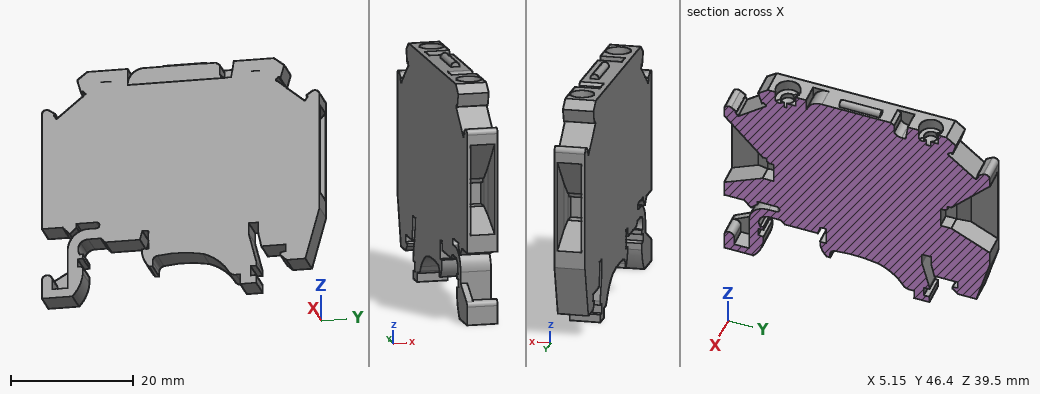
import cadquery as cq
import math

THICKNESS = 5.15
LENGTH = 46.35
TOP_Z = 38.7
HALF = LENGTH / 2

BEND_Y = -15.45
BEND_Z = 8.0
BEND_INNER_R = 1.65
BEND_OUTER_R = 3.45
ARM_Y = BEND_Y - BEND_OUTER_R
ARM_TOP_Z = BEND_Z + BEND_OUTER_R
COS_45 = math.cos(math.radians(45))

SLOT_TOP_Z = 12.5
SLOT_R = (SLOT_TOP_Z - ARM_TOP_Z) / 2
SLOT_END_Y = -14.1

SHOULDER = [
    (20.95, 31.85),
    (21.2, 31.6),
    (20.7, 30.9),
    (15.85, 34.9),
    (16.35, 35.4),
    (16.65, 35.15),
    (17.3, 37.35),
    (15.57, TOP_Z),
]
SHOULDER_ROUND_R = 0.8
SHOULDER_ROUND_Z = 31.85
SHOULDER_ROUND_START = 123

FOOT_WEB = 1.1
FOOT_LIP_R = 0.9
FOOT_LIP_Z = 3.1
FOOT_LIP_TANGENT = 119
FOOT_POCKET_FLOOR = 1.5

SCREW_WELLS = [(3.05, 12.45, 2.0), (3.0, -12.45, 2.1)]
WELL_DEPTH = 1.95
BORE_R = 1.15
BORE_DEPTH = 0.95
CONE_DEPTH = 0.7
DRIVE_SLOT_R = 0.32
DRIVE_SLOT_ANGLE = -45

RECESS_X = 1.0
RECESS_HALF = 8.85
ROUND_R = 2.7
GROOVE_DEPTH = 2.8
GROOVE_WALL_Y = 8.45
GROOVE_STEP_Y = 6.5
GROOVE_ARC_RISE = 0.75
BLOCK_BEVEL_Y = 5.9
BLOCK_BEVEL_DROP = 0.45
BLOCK_SIDE_GAP = 0.15
BLOCK_END_Y = 7.75

RIB_X = 3.05
RIB_WIDTH = 1.45
RIB_TOP_Z = 39.5
RIB_LENGTH = 7.1
RIB_CENTRE_Y = 0.3

FUNNEL_X0 = 0.6
FUNNEL_X1 = 4.65
FUNNEL_BEND = 4.65
FUNNEL_DEPTH = 6.7
FUNNEL_BOTTOM_Z = 15.0
FUNNEL_TOP_Z = 30.1
THROAT_X0 = 1.8
THROAT_X1 = 4.5
THROAT_BOTTOM_Z = 18.25
THROAT_TOP_Z = 22.9
THROAT_DEPTH = 1.85
THROAT_LIP_Z = 22.55
THROAT_LIP_R = 0.65


def side_sketch(x):
    """Sketch plane facing +X whose local axes are Y and Z."""
    return cq.Workplane("YZ", origin=(x, 0, 0))


def mirrored(point):
    """The same point at the other end of the length."""
    y, z = point
    return (-y, z)


def arc_point(centre_y, centre_z, radius, degrees):
    """Point on a circle, by its angle from the +Y direction."""
    angle = math.radians(degrees)
    return (centre_y + radius * math.cos(angle), centre_z + radius * math.sin(angle))


def shoulder_round_point(degrees):
    """Point on the rounded top corner at +Y."""
    return arc_point(HALF - SHOULDER_ROUND_R, SHOULDER_ROUND_Z, SHOULDER_ROUND_R, degrees)


def foot_lip_point(degrees):
    """Point on the rounded lip of the foot."""
    return arc_point(FOOT_LIP_R - HALF, FOOT_LIP_Z, FOOT_LIP_R, degrees)


def make_body():
    """Side outline of the whole housing, extruded through the thickness."""
    round_end = (HALF, SHOULDER_ROUND_Z)
    round_mid = shoulder_round_point(SHOULDER_ROUND_START / 2)
    round_start = shoulder_round_point(SHOULDER_ROUND_START)
    mirrored_shoulder = [mirrored(point) for point in reversed(SHOULDER)]
    outline = (
        side_sketch(0)
        .moveTo(*round_end)
        .threePointArc(round_mid, round_start)
    )
    for y, z in SHOULDER + mirrored_shoulder:
        outline = outline.lineTo(y, z)
    outline = (
        outline.lineTo(*mirrored(round_start))
        .threePointArc(mirrored(round_mid), mirrored(round_end))
        .lineTo(-HALF, 12.05)
        .lineTo(-19.7, 12.05)
        .lineTo(-18.5, 10.75)
        .lineTo(-17.4, 11.85)
        .lineTo(-17.4, SLOT_TOP_Z)
        .lineTo(SLOT_END_Y, SLOT_TOP_Z)
        .threePointArc((SLOT_END_Y + SLOT_R, SLOT_TOP_Z - SLOT_R), (SLOT_END_Y, ARM_TOP_Z))
    )
    outline = (
        outline.lineTo(BEND_Y, ARM_TOP_Z)
        .threePointArc(
            (BEND_Y - BEND_OUTER_R * COS_45, BEND_Z + BEND_OUTER_R * COS_45), (ARM_Y, BEND_Z)
        )
        .lineTo(ARM_Y, 6.05)
        .lineTo(*foot_lip_point(FOOT_LIP_TANGENT))
        .threePointArc(foot_lip_point((FOOT_LIP_TANGENT + 180) / 2), foot_lip_point(180))
        .lineTo(-HALF, 0)
        .lineTo(-18.08, 0)
        .threePointArc((-16.83, 1.85), (-16.3, 3.85))
        .lineTo(-16.3, 4.9)
        .lineTo(-17.2, 5.1)
        .lineTo(-17.2, 6.35)
        .lineTo(-16.3, 6.45)
        .lineTo(-16.3, 7.2)
        .lineTo(-16.85, 7.2)
        .threePointArc((BEND_Y - BEND_INNER_R, BEND_Z), (-16.7, 9.15))
        .threePointArc((-16.18, 9.5), (BEND_Y, BEND_Z + BEND_INNER_R))
    )
    outline = (
        outline.lineTo(-13.35, 9.7)
        .lineTo(-12.6, 8.95)
        .lineTo(-6.8, 8.95)
        .lineTo(-6.4, 10.45)
        .lineTo(-5.55, 10.45)
        .lineTo(-5.38, 10.25)
        .lineTo(-5.38, 7.3)
        .lineTo(-6.5, 7.3)
        .threePointArc((-6.15, 5.45), (-5.3, 4.15))
        .lineTo(-4.7, 4.15)
        .lineTo(-4.7, 4.95)
        .threePointArc((-4.45, 5.6), (-3.9, 5.95))
        .threePointArc((0.0, 6.15), (3.7, 5.7))
        .threePointArc((5.8, 4.65), (7.4, 3.15))
        .lineTo(8.0, 2.25)
        .threePointArc((8.55, 1.8), (9.25, 1.65))
    )
    outline = (
        outline.lineTo(9.9, 1.65)
        .lineTo(9.9, 0)
        .lineTo(12.6, 0)
        .lineTo(12.6, 1.35)
        .lineTo(11.7, 1.35)
        .lineTo(11.7, 2.95)
        .lineTo(12.6, 2.95)
        .lineTo(12.6, 3.7)
        .lineTo(11.35, 8.57)
        .lineTo(11.35, 10.45)
        .lineTo(12.95, 10.45)
        .lineTo(12.95, 8.57)
        .lineTo(13.45, 6.25)
        .lineTo(17.5, 6.25)
        .lineTo(17.5, 5.1)
        .lineTo(16.65, 4.9)
        .lineTo(16.65, 4.5)
        .lineTo(17.65, 3.55)
        .lineTo(20.8, 3.55)
        .lineTo(HALF, 12.2)
        .close()
    )
    return outline.extrude(THICKNESS)


def make_foot_pocket():
    """Pocket open at +X, leaving a lip with a rounded crest along the -Y edge."""
    lip_inner_y = 2 * FOOT_LIP_R - HALF
    return (
        side_sketch(FOOT_WEB)
        .moveTo(ARM_Y, FOOT_POCKET_FLOOR)
        .lineTo(lip_inner_y, FOOT_POCKET_FLOOR)
        .lineTo(lip_inner_y, FOOT_LIP_Z)
        .threePointArc(foot_lip_point(FOOT_LIP_TANGENT / 2), foot_lip_point(FOOT_LIP_TANGENT))
        .lineTo(ARM_Y, BEND_Z)
        .close()
        .extrude(THICKNESS - FOOT_WEB)
    )


def make_screw_well(x, y, radius):
    """Round well down to a screw head with a drilled centre and a diagonal round-bottomed slot."""
    floor_z = TOP_Z - WELL_DEPTH
    well = cq.Workplane("XY").circle(radius).extrude(WELL_DEPTH)
    bore = cq.Workplane("XY").circle(BORE_R).extrude(-BORE_DEPTH)
    cone = cq.Workplane(cq.Solid.makeCone(0, BORE_R, CONE_DEPTH))
    cone = cone.translate((0, 0, -BORE_DEPTH - CONE_DEPTH))
    slot = (
        cq.Workplane("YZ")
        .circle(DRIVE_SLOT_R)
        .extrude(radius, both=True)
        .intersect(cq.Workplane("XY").circle(radius).extrude(DRIVE_SLOT_R, both=True))
        .rotate((0, 0, 0), (0, 0, 1), DRIVE_SLOT_ANGLE)
    )
    return well.union(bore).union(cone).union(slot).translate((x, y, floor_z))


def make_recess():
    """Groove at +Y, rounded corner at -Y and the narrow set-back of the block's side."""
    floor_z = TOP_Z - GROOVE_DEPTH
    width = THICKNESS - RECESS_X
    groove = (
        side_sketch(RECESS_X)
        .moveTo(RECESS_HALF, TOP_Z)
        .lineTo(GROOVE_WALL_Y, floor_z)
        .lineTo(BLOCK_END_Y, floor_z)
        .tangentArcPoint((GROOVE_STEP_Y, floor_z + GROOVE_ARC_RISE), relative=False)
        .lineTo(GROOVE_STEP_Y, TOP_Z - BLOCK_BEVEL_DROP)
        .lineTo(BLOCK_BEVEL_Y, TOP_Z)
        .close()
        .extrude(width)
    )
    round_start = ROUND_R - RECESS_HALF
    rounded_corner = (
        side_sketch(RECESS_X)
        .moveTo(round_start, TOP_Z)
        .threePointArc(
            (round_start - ROUND_R * COS_45, TOP_Z - ROUND_R * (1 - COS_45)),
            (-RECESS_HALF, TOP_Z - ROUND_R),
        )
        .lineTo(-RECESS_HALF, TOP_Z)
        .close()
        .extrude(width)
    )
    set_back = cq.Workplane("XY").box(
        BLOCK_SIDE_GAP, BLOCK_END_Y + RECESS_HALF, GROOVE_DEPTH, centered=False
    ).translate((THICKNESS - BLOCK_SIDE_GAP, -RECESS_HALF, floor_z))
    return groove.union(rounded_corner).union(set_back)


def make_rib():
    """Rib with short upright sides and a half-round top."""
    radius = RIB_WIDTH / 2
    spring_z = RIB_TOP_Z - radius
    return (
        cq.Workplane("XZ", origin=(RIB_X, RIB_CENTRE_Y + RIB_LENGTH / 2, 0))
        .moveTo(-radius, TOP_Z)
        .lineTo(-radius, spring_z)
        .threePointArc((0, RIB_TOP_Z), (radius, spring_z))
        .lineTo(radius, TOP_Z)
        .close()
        .extrude(RIB_LENGTH)
    )


def make_wire_entry():
    """Tapered funnel as cut into the -Y end, leading to a short throat with a rounded upper lip."""
    throat_y = FUNNEL_DEPTH - HALF
    side_taper = (
        side_sketch(0)
        .polyline([
            (-HALF, FUNNEL_BOTTOM_Z),
            (throat_y, THROAT_BOTTOM_Z),
            (throat_y, THROAT_TOP_Z),
            (-HALF, FUNNEL_TOP_Z),
        ])
        .close()
        .extrude(THICKNESS)
    )
    plan_taper = (
        cq.Workplane("XY")
        .polyline([
            (FUNNEL_X0, -HALF),
            (FUNNEL_X1, -HALF),
            (FUNNEL_X1, FUNNEL_BEND - HALF),
            (THROAT_X1, throat_y),
            (THROAT_X0, throat_y),
            (FUNNEL_X0, FUNNEL_BEND - HALF),
        ])
        .close()
        .extrude(TOP_Z)
    )
    back_y = throat_y + THROAT_DEPTH
    lip_bottom_z = THROAT_LIP_Z - THROAT_LIP_R
    throat = (
        side_sketch(THROAT_X0)
        .moveTo(throat_y, THROAT_BOTTOM_Z)
        .lineTo(back_y, THROAT_BOTTOM_Z)
        .lineTo(back_y, lip_bottom_z)
        .lineTo(throat_y + 2 * THROAT_LIP_R, lip_bottom_z)
        .threePointArc(
            (throat_y + THROAT_LIP_R * (2 - COS_45), THROAT_LIP_Z - THROAT_LIP_R * COS_45),
            (throat_y + THROAT_LIP_R, THROAT_LIP_Z),
        )
        .lineTo(throat_y + THROAT_LIP_R, THROAT_TOP_Z)
        .lineTo(throat_y, THROAT_TOP_Z)
        .close()
        .extrude(THROAT_X1 - THROAT_X0)
    )
    return side_taper.intersect(plan_taper).union(throat)


result = make_body().cut(make_foot_pocket()).cut(make_recess()).union(make_rib())
for well_x, well_y, well_r in SCREW_WELLS:
    result = result.cut(make_screw_well(well_x, well_y, well_r))
wire_entry = make_wire_entry()
result = result.cut(wire_entry).cut(wire_entry.mirror("XZ"))